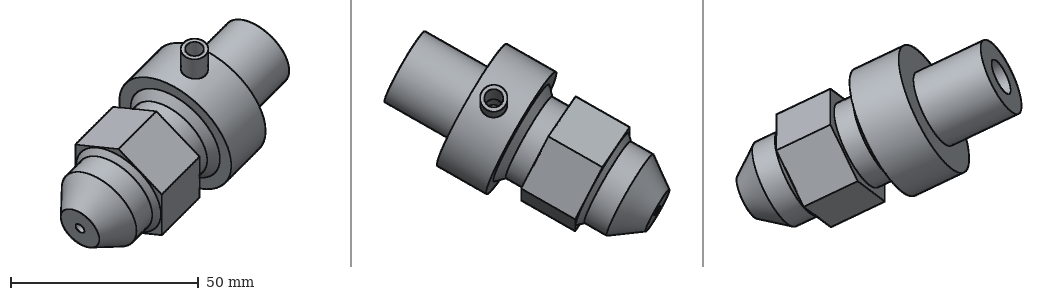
import cadquery as cq
import math

LENGTH = 77.7
NOSE_LENGTH = 8.4
FRONT_NECK_END = 15.3
HEX_FRONT = 16.9
HEX_BACK = 33.6
REAR_NECK_END = 39.5
COLLAR_FRONT = 41.9
COLLAR_BACK = 57.0

NOSE_TIP_RADIUS = 6.45
NECK_RADIUS = 12.5
COLLAR_RADIUS = 18.7
SHANK_RADIUS = 10.9
HEX_ACROSS_FLATS = 28.9

FRONT_FLARE_RADIUS = NECK_RADIUS + HEX_FRONT - FRONT_NECK_END
REAR_FLARE_RADIUS = NECK_RADIUS + COLLAR_FRONT - REAR_NECK_END

ORIFICE_RADIUS = 1.5
BORE_RADIUS = 5.05
BORE_FRONT = HEX_BACK

PIPE_Y = 50.35
PIPE_TOP = 26.6
PIPE_RADIUS = 3.65
PIPE_BORE_RADIUS = 2.5
SOCKET_DEPTH = 6.2
PIPE_BOTTOM = COLLAR_RADIUS - SOCKET_DEPTH


def rod_along_y(radius, start, end):
    """Round rod on the main axis between two Y positions."""
    return cq.Workplane("XZ", origin=(0, start, 0)).circle(radius).extrude(start - end)


def rod_along_z(radius, bottom, top):
    """Round rod on the side pipe's axis between two heights."""
    return cq.Workplane("XY", origin=(0, PIPE_Y, bottom)).circle(radius).extrude(top - bottom)


def make_turned_profile():
    """Solid of revolution: nose, necks, flares, collar and shank."""
    outline = [
        (0, 0),
        (NOSE_TIP_RADIUS, 0),
        (NECK_RADIUS, NOSE_LENGTH),
        (NECK_RADIUS, FRONT_NECK_END),
        (FRONT_FLARE_RADIUS, HEX_FRONT),
        (NECK_RADIUS, HEX_FRONT),
        (NECK_RADIUS, REAR_NECK_END),
        (REAR_FLARE_RADIUS, COLLAR_FRONT),
        (COLLAR_RADIUS, COLLAR_FRONT),
        (COLLAR_RADIUS, COLLAR_BACK),
        (SHANK_RADIUS, COLLAR_BACK),
        (SHANK_RADIUS, LENGTH),
        (0, LENGTH),
    ]
    return cq.Workplane("XY").polyline(outline).close().revolve(360, (0, 0, 0), (0, 1, 0))


def make_hexagon():
    """Wrench hexagon with two flats facing +X and -X and corners at top and bottom."""
    across_corners = HEX_ACROSS_FLATS / math.cos(math.pi / 6)
    hexagon = cq.Workplane("XZ", origin=(0, HEX_FRONT, 0)).polygon(6, across_corners)
    return hexagon.extrude(HEX_FRONT - HEX_BACK).rotate((0, 0, 0), (0, 1, 0), 30)


def make_nozzle():
    """Nozzle body with its through passage, pipe socket and side port."""
    body = make_turned_profile().union(make_hexagon())
    orifice = rod_along_y(ORIFICE_RADIUS, 0, LENGTH)
    bore = rod_along_y(BORE_RADIUS, BORE_FRONT, LENGTH)
    socket = rod_along_z(PIPE_RADIUS, PIPE_BOTTOM, PIPE_TOP)
    port = rod_along_z(PIPE_BORE_RADIUS, 0, PIPE_TOP)
    return body.cut(orifice).cut(bore).cut(socket).cut(port)


def make_side_pipe():
    """Open tube that rests on the floor of the socket."""
    outside = rod_along_z(PIPE_RADIUS, PIPE_BOTTOM, PIPE_TOP)
    return outside.cut(rod_along_z(PIPE_BORE_RADIUS, PIPE_BOTTOM, PIPE_TOP))


nozzle = make_nozzle()
side_pipe = make_side_pipe()
result = cq.Compound.makeCompound([nozzle.val(), side_pipe.val()])